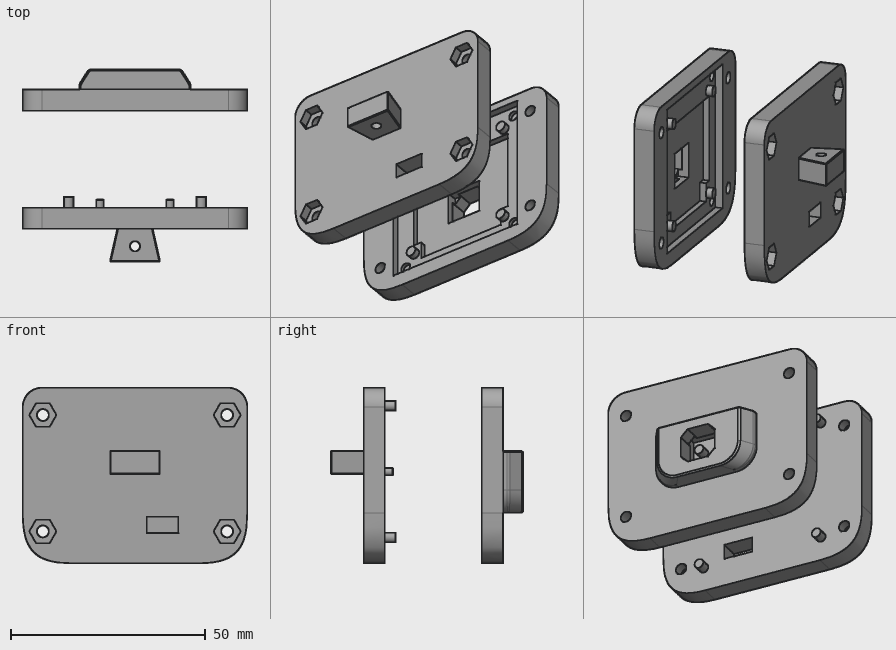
import cadquery as cq
import math

WIDTH = 57.75
HEIGHT = 45.15
PLATE_THICKNESS = 5.5
FRONT_PLATE_Y = 8.4
REAR_PLATE_Y = 38.75
FRONT_PLATE_BACK_Y = FRONT_PLATE_Y + PLATE_THICKNESS
REAR_PLATE_BACK_Y = REAR_PLATE_Y + PLATE_THICKNESS

TOP_CORNER_RADIUS = 4.95
BOTTOM_CURVE_TOP_Z = 12.95
BOTTOM_CURVE_END_X = 16.7
BOTTOM_CURVE_SIDE_HANDLE = 8.25
BOTTOM_CURVE_BASE_HANDLE = 9.95

SCREW_HOLE_DIAMETER = 3.0
SCREW_X = 23.7
SCREW_Z = (8.2, 38.1)
NUT_ACROSS_CORNERS = 7.0
NUT_POCKET_DEPTH = 2.5

CENTER_Z = 23.55
LOCATING_PIN_DIAMETER = 2.55
LOCATING_PIN_LENGTH = 2.8
LOCATING_X = 17.05
LOCATING_DZ = 16.9
SOCKET_DIAMETER = 2.8
SOCKET_DEPTH = 1.0
SUPPORT_PIN_DIAMETER = 1.95
SUPPORT_PIN_LENGTH = 2.15
SUPPORT_PIN_CHAMFER = 0.25
SUPPORT_PIN_X = 9.0

WINDOW_WIDTH = 8.1
WINDOW_HEIGHT = 4.15
WINDOW_X = 7.1
WINDOW_Z = 9.95

LUG_LENGTH = FRONT_PLATE_Y
LUG_HEIGHT = 6.1
LUG_Z = 25.95
LUG_TIP_WIDTH = 12.95
LUG_ROOT_WIDTH = 9.1
LUG_CHAMFER = 0.25
LUG_HOLE_DIAMETER = 2.55
LUG_HOLE_Y = 3.9

POCKET_HALF_WIDTH = 19.6
POCKET_HALF_HEIGHT = 19.5
POCKET_DEPTH = 1.95
POCKET_FLOOR_Y = REAR_PLATE_Y + POCKET_DEPTH
INNER_LEFT_X = -14.5
INNER_RIGHT_X = 15.25
INNER_BOTTOM_Z = 7.7
INNER_TOP_Z = 35.6
INNER_DEPTH = 1.7
INNER_FLOOR_Y = POCKET_FLOOR_Y + INNER_DEPTH
CORNER_BLOCK_WIDTH = 2.3
CORNER_BLOCK_HEIGHT = 4.95
BOARD_PIN_DIAMETER = 2.8
BOARD_PIN_LENGTH = 1.75
BOARD_PIN_X = 14.15
BOARD_PIN_DZ = 13.85

LENS_WIDTH = 9.7
LENS_HEIGHT = 9.5
LENS_X = 0.1
LENS_Z = 21.25
LENS_RECESS_END_Y = 45.35
LENS_CORNER_CUT = 1.95
LENS_OPENING_CLEARANCE = 0.05

HOOD_BACK_Y = 49.4
HOOD_SHOULDER_Y = 45.6
HOOD_ROOT_WIDTH = 28.65
HOOD_BACK_WIDTH = 23.8
HOOD_BOTTOM_Z = 12.95
HOOD_TOP_Z = 28.95
HOOD_CORNER_RADIUS = 5.95
HOOD_SHOULDER_RADIUS = 1.5
HOOD_CHAMFER = 0.4


def facing_plane(y):
    """Workplane in XZ at the given Y; positive extrusion goes toward +Y."""
    return cq.Workplane(cq.Plane(origin=(0, y, 0), xDir=(1, 0, 0), normal=(0, 1, 0)))


def at_xz(points):
    """Points (x, z) in the local coordinates of facing_plane, whose second axis is -Z."""
    return [(x, -z) for x, z in points]


def box_between(x_range, y_range, z_range):
    (x0, x1), (y0, y1), (z0, z1) = x_range, y_range, z_range
    return cq.Workplane("XY").box(x1 - x0, y1 - y0, z1 - z0, centered=False).translate((x0, y0, z0))


def cylinders(points, diameter, y_start, length):
    return facing_plane(y_start).pushPoints(at_xz(points)).circle(diameter / 2).extrude(length)


def plate(y_start):
    """Plate blank with round upper corners and larger, gradually curving lower corners."""
    half = WIDTH / 2
    right_curve = [
        (half, BOTTOM_CURVE_TOP_Z),
        (half, BOTTOM_CURVE_TOP_Z - BOTTOM_CURVE_SIDE_HANDLE),
        (BOTTOM_CURVE_END_X + BOTTOM_CURVE_BASE_HANDLE, 0),
        (BOTTOM_CURVE_END_X, 0),
    ]
    left_curve = [(-x, z) for x, z in reversed(right_curve)]
    outline = (
        cq.Workplane("XZ")
        .moveTo(-half, HEIGHT)
        .lineTo(half, HEIGHT)
        .lineTo(*right_curve[0])
        .bezier(right_curve)
        .lineTo(*left_curve[0])
        .bezier(left_curve)
        .close()
    )
    blank = outline.extrude(-PLATE_THICKNESS)
    upper_corners = blank.edges("|Y").edges(">Z")
    return upper_corners.fillet(TOP_CORNER_RADIUS).translate((0, y_start, 0))


SCREW_POINTS = [(x, z) for x in (-SCREW_X, SCREW_X) for z in SCREW_Z]
LOCATING_POINTS = [
    (x, CENTER_Z + dz) for x in (-LOCATING_X, LOCATING_X) for dz in (-LOCATING_DZ, LOCATING_DZ)
]
SUPPORT_POINTS = [(x, CENTER_Z) for x in (-SUPPORT_PIN_X, SUPPORT_PIN_X)]
BOARD_PIN_POINTS = [
    (x, CENTER_Z + dz) for x in (-BOARD_PIN_X, BOARD_PIN_X) for dz in (-BOARD_PIN_DZ, BOARD_PIN_DZ)
]


def lug():
    """Wedge-shaped lug with a vertical hole; its root, flush with the plate face, stays sharp."""
    body = (
        cq.Workplane("XY")
        .polyline([
            (-LUG_TIP_WIDTH / 2, 0),
            (LUG_TIP_WIDTH / 2, 0),
            (LUG_ROOT_WIDTH / 2, LUG_LENGTH),
            (-LUG_ROOT_WIDTH / 2, LUG_LENGTH),
        ])
        .close()
        .extrude(LUG_HEIGHT)
        .translate((0, 0, LUG_Z - LUG_HEIGHT / 2))
    )
    body = body.edges("not >Y").chamfer(LUG_CHAMFER)
    hole = (
        cq.Workplane("XY")
        .center(0, LUG_HOLE_Y)
        .circle(LUG_HOLE_DIAMETER / 2)
        .extrude(HEIGHT)
    )
    return body.cut(hole)


def front_plate():
    nut_pockets = (
        facing_plane(FRONT_PLATE_Y)
        .pushPoints(at_xz(SCREW_POINTS))
        .polygon(6, NUT_ACROSS_CORNERS)
        .extrude(NUT_POCKET_DEPTH)
    )
    window = box_between(
        (WINDOW_X - WINDOW_WIDTH / 2, WINDOW_X + WINDOW_WIDTH / 2),
        (FRONT_PLATE_Y, FRONT_PLATE_BACK_Y),
        (WINDOW_Z - WINDOW_HEIGHT / 2, WINDOW_Z + WINDOW_HEIGHT / 2),
    )
    locating_pins = cylinders(
        LOCATING_POINTS, LOCATING_PIN_DIAMETER, FRONT_PLATE_BACK_Y, LOCATING_PIN_LENGTH
    )
    support_pins = cylinders(
        SUPPORT_POINTS, SUPPORT_PIN_DIAMETER, FRONT_PLATE_BACK_Y, SUPPORT_PIN_LENGTH
    )
    support_pins = support_pins.faces(">Y").chamfer(SUPPORT_PIN_CHAMFER)
    return (
        plate(FRONT_PLATE_Y)
        .cut(cylinders(SCREW_POINTS, SCREW_HOLE_DIAMETER, FRONT_PLATE_Y, PLATE_THICKNESS))
        .cut(nut_pockets)
        .cut(window)
        .union(lug())
        .union(locating_pins)
        .union(support_pins)
    )


def hood_section(y, width):
    """Outline of the hood in XZ at the given Y: square upper corners and rounded lower ones."""
    half = width / 2
    arc_x = half - HOOD_CORNER_RADIUS
    arc_z = HOOD_BOTTOM_Z + HOOD_CORNER_RADIUS
    diagonal = HOOD_CORNER_RADIUS * math.sqrt(0.5)
    outline = (
        cq.Workplane(cq.Plane(origin=(0, y, 0), xDir=(1, 0, 0), normal=(0, -1, 0)))
        .moveTo(-half, HOOD_TOP_Z)
        .lineTo(half, HOOD_TOP_Z)
        .lineTo(half, arc_z)
        .threePointArc((arc_x + diagonal, arc_z - diagonal), (arc_x, HOOD_BOTTOM_Z))
        .lineTo(-arc_x, HOOD_BOTTOM_Z)
        .threePointArc((-arc_x - diagonal, arc_z - diagonal), (-half, arc_z))
        .close()
    )
    return outline.val()


def hood():
    """Raised block whose ends slope inward behind a rounded shoulder, with a chamfered rim."""
    root = hood_section(REAR_PLATE_BACK_Y, HOOD_ROOT_WIDTH)
    shoulder = hood_section(HOOD_SHOULDER_Y, HOOD_ROOT_WIDTH)
    back = hood_section(HOOD_BACK_Y, HOOD_BACK_WIDTH)
    straight_part = cq.Workplane(cq.Solid.makeLoft([root, shoulder], True))
    sloped_part = cq.Workplane(cq.Solid.makeLoft([shoulder, back], True))
    body = straight_part.union(sloped_part)

    margin = 0.05
    shoulder_box = cq.selectors.BoxSelector(
        (-WIDTH, HOOD_SHOULDER_Y - margin, HOOD_BOTTOM_Z + margin),
        (WIDTH, HOOD_SHOULDER_Y + margin, HOOD_TOP_Z - margin),
    )
    body = body.edges(shoulder_box).fillet(HOOD_SHOULDER_RADIUS)
    return body.faces(">Y or >Z").edges("not <Y").chamfer(HOOD_CHAMFER)


def inner_pocket():
    pocket = box_between(
        (INNER_LEFT_X, INNER_RIGHT_X), (POCKET_FLOOR_Y, INNER_FLOOR_Y), (INNER_BOTTOM_Z, INNER_TOP_Z)
    )
    block_z = (INNER_BOTTOM_Z, INNER_BOTTOM_Z + CORNER_BLOCK_HEIGHT)
    for block_x in (
        (INNER_LEFT_X, INNER_LEFT_X + CORNER_BLOCK_WIDTH),
        (INNER_RIGHT_X - CORNER_BLOCK_WIDTH, INNER_RIGHT_X),
    ):
        pocket = pocket.cut(box_between(block_x, (POCKET_FLOOR_Y, INNER_FLOOR_Y), block_z))
    return pocket


def lens_box(width, height, y_range):
    return box_between(
        (LENS_X - width / 2, LENS_X + width / 2), y_range, (LENS_Z - height / 2, LENS_Z + height / 2)
    )


def lens_opening():
    recess = lens_box(LENS_WIDTH, LENS_HEIGHT, (INNER_FLOOR_Y, LENS_RECESS_END_Y))
    extra = 2 * LENS_OPENING_CLEARANCE
    opening = lens_box(LENS_WIDTH + extra, LENS_HEIGHT + extra, (REAR_PLATE_BACK_Y, HOOD_BACK_Y))
    return recess.union(opening.edges("|Y").chamfer(LENS_CORNER_CUT))


def rear_plate():
    pocket = box_between(
        (-POCKET_HALF_WIDTH, POCKET_HALF_WIDTH),
        (REAR_PLATE_Y, POCKET_FLOOR_Y),
        (CENTER_Z - POCKET_HALF_HEIGHT, CENTER_Z + POCKET_HALF_HEIGHT),
    )
    board_pins = cylinders(
        BOARD_PIN_POINTS, BOARD_PIN_DIAMETER, POCKET_FLOOR_Y, -BOARD_PIN_LENGTH
    )
    return (
        plate(REAR_PLATE_Y)
        .union(hood())
        .cut(pocket)
        .cut(inner_pocket())
        .cut(lens_opening())
        .cut(cylinders(SCREW_POINTS, SCREW_HOLE_DIAMETER, REAR_PLATE_Y, PLATE_THICKNESS))
        .cut(cylinders(LOCATING_POINTS, SOCKET_DIAMETER, POCKET_FLOOR_Y, SOCKET_DEPTH))
        .union(board_pins)
    )


result = cq.Compound.makeCompound([front_plate().val(), rear_plate().val()])